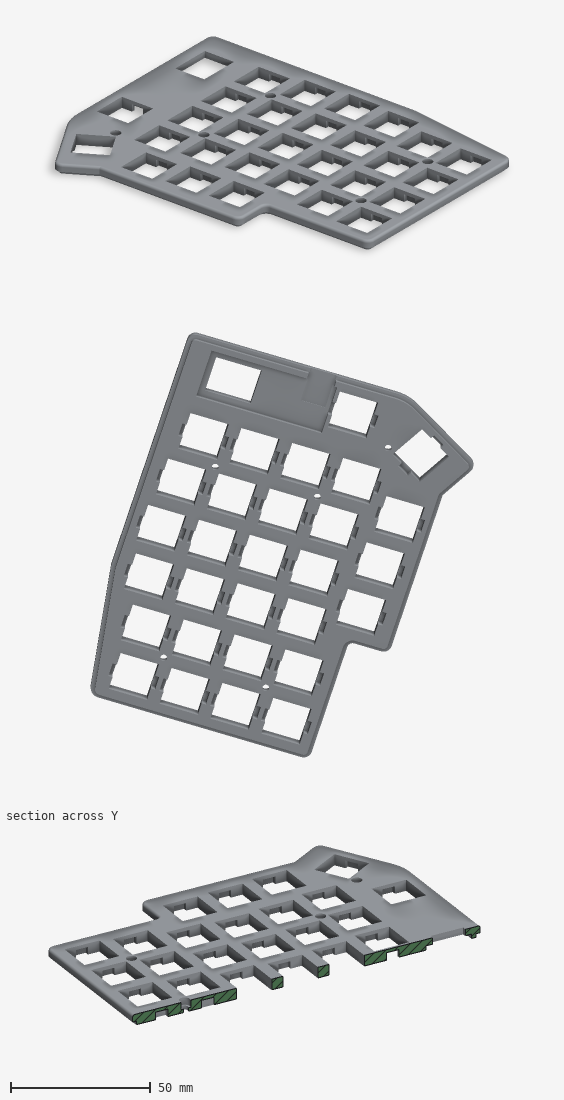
import cadquery as cq
import math

LENGTH = 143.5
WIDTH = 112.2
THICKNESS = 4.5
STEP_HEIGHT = 1.5
STEP_INSET = 1.6
RIM_FILLET = 1.0
CORNER_RADIUS = 3.0
INNER_CORNER_RADIUS = 2.0
RIGHT_TOP_RADIUS = 3.9
SHOULDER_RADIUS = 17.2

SLOPE_START_X = 93.7
RIGHT_TOP_Y = 104.7
RIGHT_BOTTOM_Y = 22.2
NOTCH_X = 96.1
THUMB_BOTTOM_Y = 7.2
THUMB_BEND_X = 32.3
THUMB_ANGLE = 30.0

KEY_SIZE = 14.3
KEY_PITCH = 19.1
ROW_COUNT = 4
FIRST_COLUMN_X = 36.0
TOP_ROW_Y = [95.7, 98.1, 99.5, 98.1, 93.2, 91.8]
THUMB_ROW_X = 45.3
THUMB_ROW_Y = [19.2, 20.7, 21.7]
SIDE_KEY = (12.0, 47.2)
TILTED_KEY = (19.7, 19.4)
CLIP_PLATE = 1.5
CLIP_WIDTH = 5.0
CLIP_DEPTH = 1.6

ENCODER_CENTER = (12.9, 91.8)
ENCODER_SIZE = (13.3, 17.1)
POCKET_HEIGHT = 1.7
PORT_HEIGHT = 2.0
POCKET_MARGIN = 2.6
SIDE_KEY_WALL = 1.5
PORT_CENTER_Y = 62.0
PORT_WIDTH = 10.3
PORT_CORNER_RADIUS = 1.5

SCREW_DIAMETER = 2.5
HEAD_DIAMETER = 4.0
HEAD_DEPTH = 2.9
SCREW_POINTS = [(45.9, 88.2), (45.9, 49.9), (121.4, 83.8), (121.4, 45.5), (20.4, 31.4)]


def outline_corners():
    """Sharp corners of the outline, each with its rounding radius (0 keeps it sharp)."""
    tilt = math.radians(THUMB_ANGLE)
    tip_y = CORNER_RADIUS * (1 - math.cos(tilt) - math.sin(tilt))
    tip_x = THUMB_BEND_X - (THUMB_BOTTOM_Y - tip_y) / math.tan(tilt)
    shoulder_y = tip_y + tip_x / math.tan(tilt)
    return [
        ((0, WIDTH), CORNER_RADIUS),
        ((SLOPE_START_X, WIDTH), 0),
        ((LENGTH, RIGHT_TOP_Y), RIGHT_TOP_RADIUS),
        ((LENGTH, RIGHT_BOTTOM_Y), CORNER_RADIUS),
        ((NOTCH_X, RIGHT_BOTTOM_Y), INNER_CORNER_RADIUS),
        ((NOTCH_X, THUMB_BOTTOM_Y), CORNER_RADIUS),
        ((THUMB_BEND_X, THUMB_BOTTOM_Y), 0),
        ((tip_x, tip_y), CORNER_RADIUS),
        ((0, shoulder_y), SHOULDER_RADIUS),
    ]


def make_plate():
    """Upper tier with a rounded rim on a lower tier set in all round."""
    corners = outline_corners()
    upper = (
        cq.Workplane("XY")
        .workplane(offset=STEP_HEIGHT)
        .polyline([point for point, _ in corners])
        .close()
        .extrude(THICKNESS - STEP_HEIGHT)
    )
    for (x, y), radius in corners:
        if radius:
            corner_edge = cq.selectors.NearestToPointSelector((x, y, (THICKNESS + STEP_HEIGHT) / 2))
            upper = upper.edges("|Z").edges(corner_edge).fillet(radius)
    lower = (
        upper.faces("<Z").wires().toPending()
        .offset2D(-STEP_INSET)
        .extrude(-STEP_HEIGHT, combine=False)
    )
    return upper.faces(">Z").edges().fillet(RIM_FILLET).union(lower)


def block(center, size_x, size_y, height, angle=0):
    """Box standing on the underside, turned about its own centre."""
    return (
        cq.Workplane("XY")
        .box(size_x, size_y, height, centered=(True, True, False))
        .rotate((0, 0, 0), (0, 0, 1), angle)
        .translate((center[0], center[1], 0))
    )


def switch_opening(center, angle=0):
    """Square opening with a clip relief below its front and back edges."""
    opening = block(center, KEY_SIZE, KEY_SIZE, THICKNESS, angle)
    relief_length = KEY_SIZE + 2 * CLIP_DEPTH
    relief = block(center, CLIP_WIDTH, relief_length, THICKNESS - CLIP_PLATE, angle)
    return opening.union(relief)


def controller_pocket():
    """Underside pocket from the encoder window to the side key, with a port in the left side."""
    half_x = ENCODER_SIZE[0] / 2 + POCKET_MARGIN
    top = ENCODER_CENTER[1] + ENCODER_SIZE[1] / 2 + POCKET_MARGIN
    bottom = SIDE_KEY[1] + KEY_SIZE / 2 + SIDE_KEY_WALL
    center = (ENCODER_CENTER[0], (top + bottom) / 2)
    pocket = block(center, 2 * half_x, top - bottom, POCKET_HEIGHT)
    port = (
        block((ENCODER_CENTER[0] / 2, PORT_CENTER_Y), ENCODER_CENTER[0], PORT_WIDTH, PORT_HEIGHT)
        .edges("|X and >Z")
        .fillet(PORT_CORNER_RADIUS)
    )
    return pocket.union(port)


result = make_plate()

key_places = [
    (FIRST_COLUMN_X + column * KEY_PITCH, top_y - row * KEY_PITCH)
    for column, top_y in enumerate(TOP_ROW_Y)
    for row in range(ROW_COUNT)
]
key_places += [(THUMB_ROW_X + index * KEY_PITCH, y) for index, y in enumerate(THUMB_ROW_Y)]
key_places.append(SIDE_KEY)
for place in key_places:
    result = result.cut(switch_opening(place))
result = result.cut(switch_opening(TILTED_KEY, THUMB_ANGLE - 90))

result = result.cut(block(ENCODER_CENTER, *ENCODER_SIZE, THICKNESS))
result = result.cut(controller_pocket())

result = (
    result.faces(">Z").workplane(origin=(0, 0, THICKNESS))
    .pushPoints(SCREW_POINTS)
    .cboreHole(SCREW_DIAMETER, HEAD_DIAMETER, HEAD_DEPTH)
)